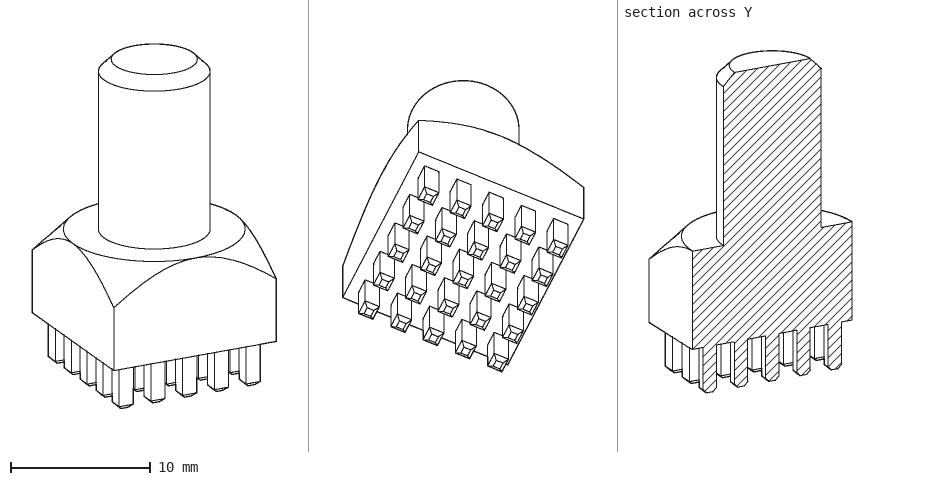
import cadquery as cq
import math

body_width = 13.0
body_height = 7.5
corner_clearance = 1.0

shank_diameter = 8.0
shank_length = 13.0
shank_chamfer = 0.92

pin_rows = 5
pin_pitch = 2.54
pin_width = 1.13
pin_length = 3.5
pin_tip_chamfer = 0.3


def make_body():
    """Square block whose top corners are cut by a 45 degree cone."""
    block = cq.Workplane("XY").rect(body_width, body_width).extrude(body_height)
    top_radius = body_width / 2
    corner_radius = body_width / math.sqrt(2)
    base_radius = corner_radius + corner_clearance
    cone_drop = base_radius - top_radius
    envelope = (
        cq.Workplane("XZ")
        .moveTo(0, 0)
        .lineTo(base_radius, 0)
        .lineTo(base_radius, body_height - cone_drop)
        .lineTo(top_radius, body_height)
        .lineTo(0, body_height)
        .close()
        .revolve(360, (0, 0, 0), (0, 1, 0))
    )
    return block.intersect(envelope)


def make_shank():
    """Cylinder with a chamfered free end."""
    return (
        cq.Workplane("XY", origin=(0, 0, body_height))
        .circle(shank_diameter / 2)
        .extrude(shank_length)
        .faces(">Z")
        .chamfer(shank_chamfer)
    )


def make_pins():
    """Grid of square pins with chamfered tips."""
    return (
        cq.Workplane("XY")
        .rarray(pin_pitch, pin_pitch, pin_rows, pin_rows)
        .rect(pin_width, pin_width)
        .extrude(-pin_length)
        .faces("<Z")
        .chamfer(pin_tip_chamfer)
    )


result = make_body().union(make_shank()).union(make_pins())